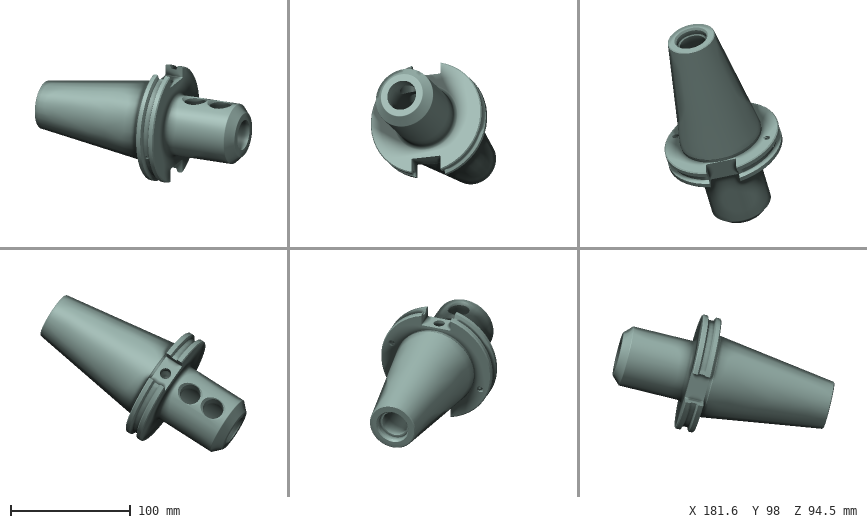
import cadquery as cq
import math

total_length = 181.6
gauge_x = 101.7
flange_start = 104.8
flange_end = 120.5

gauge_diameter = 70.0
taper_rate = 7 / 24
small_end_diameter = gauge_diameter - taper_rate * gauge_x
small_end_chamfer = 0.7
relief_diameter = 69.2
relief_start = 102.5

flange_diameter = 98
flange_chamfer = 0.9
groove_x = 112.6
groove_floor_diameter = 91.5
groove_floor_width = 4.2
groove_mouth_width = 7.3

nose_diameter = 50.8
nose_fillet = 3.0
nose_chamfer = 6.9
nose_edge_round = 0.7

through_diameter = 22.0
tool_bore_diameter = 25.5
tool_bore_depth = 61.7
pilot_diameter = 26.2
pilot_depth = 5.8
mouth_diameter = 28.7
mouth_depth = 1.8

slot_width = 25.8
slot_corner_radius = 0.7
upper_slot_floor = 37.5
lower_slot_floor = 35.0
dimple_diameter = 9.5
dimple_depth = 7.3
drill_point_angle = 118

screw_positions = (137.5, 160.4)
screw_diameter = 17.3
countersink_diameter = 22.0

coolant_angle = 20
coolant_tilt = 30
coolant_radius = 41.8
coolant_entry_diameter = 5.0
coolant_entry_depth = 1.8
coolant_drill_diameter = 2.5
coolant_outlet_diameter = 3.3


def rod(start, direction, diameter, length):
    """Solid cylinder from a start point along a direction."""
    return cq.Workplane(obj=cq.Solid.makeCylinder(
        diameter / 2, length, cq.Vector(*start), cq.Vector(*direction)))


def make_body():
    """Revolve the outer profile about the X axis."""
    small_radius = small_end_diameter / 2
    flange_radius = flange_diameter / 2
    floor_radius = groove_floor_diameter / 2
    nose_radius = nose_diameter / 2
    shoulder_x = total_length - nose_chamfer
    fillet_middle = nose_fillet * (1 - math.sqrt(0.5))
    profile = (
        cq.Workplane("XY")
        .moveTo(0, 0)
        .lineTo(0, small_radius - small_end_chamfer)
        .lineTo(small_end_chamfer, small_radius + taper_rate / 2 * small_end_chamfer)
        .lineTo(gauge_x, gauge_diameter / 2)
        .lineTo(relief_start, relief_diameter / 2)
        .lineTo(flange_start, relief_diameter / 2)
        .lineTo(flange_start, flange_radius - flange_chamfer)
        .lineTo(flange_start + flange_chamfer, flange_radius)
        .lineTo(groove_x - groove_mouth_width / 2, flange_radius)
        .lineTo(groove_x - groove_floor_width / 2, floor_radius)
        .lineTo(groove_x + groove_floor_width / 2, floor_radius)
        .lineTo(groove_x + groove_mouth_width / 2, flange_radius)
        .lineTo(flange_end - flange_chamfer, flange_radius)
        .lineTo(flange_end, flange_radius - flange_chamfer)
        .lineTo(flange_end, nose_radius + nose_fillet)
        .threePointArc(
            (flange_end + fillet_middle, nose_radius + fillet_middle),
            (flange_end + nose_fillet, nose_radius),
        )
        .lineTo(shoulder_x, nose_radius)
        .lineTo(total_length, nose_radius - nose_chamfer)
        .lineTo(total_length, 0)
        .close()
    )
    body = profile.revolve(360, (0, 0, 0), (1, 0, 0))
    shoulder_edge = cq.selectors.BoxSelector(
        (shoulder_x - nose_edge_round, -nose_diameter, -nose_diameter),
        (shoulder_x + nose_edge_round, nose_diameter, nose_diameter),
        boundingbox=True,
    )
    body = body.edges(shoulder_edge).fillet(nose_edge_round)
    return body.faces(">X").edges().fillet(nose_edge_round)


def make_bore():
    """Stepped bore: conical mouth, pilot, through hole and tool bore."""
    tool_bore_start = total_length - tool_bore_depth
    profile = (
        cq.Workplane("XY")
        .moveTo(0, 0)
        .lineTo(0, mouth_diameter / 2)
        .lineTo(mouth_depth, pilot_diameter / 2)
        .lineTo(pilot_depth, pilot_diameter / 2)
        .lineTo(pilot_depth, through_diameter / 2)
        .lineTo(tool_bore_start, through_diameter / 2)
        .lineTo(tool_bore_start, tool_bore_diameter / 2)
        .lineTo(total_length, tool_bore_diameter / 2)
        .lineTo(total_length, 0)
        .close()
    )
    return profile.revolve(360, (0, 0, 0), (1, 0, 0))


def make_drive_slot(floor, side):
    """Slot across the flange; side is +1 for the top, -1 for the bottom."""
    height = flange_diameter / 2 - floor
    slot = cq.Workplane("XY").box(flange_end - flange_start, slot_width, height)
    floor_face = "<Z" if side > 0 else ">Z"
    slot = slot.faces(floor_face).edges("|X").fillet(slot_corner_radius)
    return slot.translate(((flange_start + flange_end) / 2, 0, side * (floor + height / 2)))


def make_dimple():
    """Blind drilled hole with a conical bottom in the upper slot floor."""
    radius = dimple_diameter / 2
    point_height = radius / math.tan(math.radians(drill_point_angle / 2))
    profile = (
        cq.Workplane("XZ")
        .moveTo(0, 0)
        .lineTo(radius, 0)
        .lineTo(radius, -dimple_depth)
        .lineTo(0, -dimple_depth - point_height)
        .close()
    )
    dimple = profile.revolve(360, (0, 0, 0), (0, 1, 0))
    return dimple.translate((groove_x, 0, upper_slot_floor))


def make_screw_hole(x):
    """Radial hole into the tool bore with a 90 degree countersink."""
    top = nose_diameter / 2
    hole = rod((x, 0, 0), (0, 0, 1), screw_diameter, top)
    countersink = cq.Workplane(obj=cq.Solid.makeCone(
        countersink_diameter / 2, 0, countersink_diameter / 2,
        cq.Vector(x, 0, top), cq.Vector(0, 0, -1)))
    return hole.union(countersink)


def make_coolant_passage():
    """Inclined stepped drilling from the flange face, met by a radial hole from the groove."""
    tilt = math.radians(coolant_tilt)
    direction = (math.cos(tilt), -math.sin(tilt), 0)
    run = groove_x - flange_start
    meeting_radius = coolant_radius - run * math.tan(tilt)
    lead = coolant_entry_diameter
    start = (flange_start - lead * direction[0], coolant_radius - lead * direction[1], 0)
    entry = rod(start, direction, coolant_entry_diameter, lead + coolant_entry_depth)
    drill = rod(start, direction, coolant_drill_diameter, lead + run / math.cos(tilt))
    outlet = rod((groove_x, meeting_radius, 0), (0, 1, 0), coolant_outlet_diameter,
                 flange_diameter / 2 - meeting_radius)
    return entry.union(drill).union(outlet)


result = make_body().cut(make_bore())
result = result.cut(make_drive_slot(upper_slot_floor, 1))
result = result.cut(make_drive_slot(lower_slot_floor, -1))
result = result.cut(make_dimple())
for screw_x in screw_positions:
    result = result.cut(make_screw_hole(screw_x))
for turn in (coolant_angle, coolant_angle + 180):
    result = result.cut(make_coolant_passage().rotate((0, 0, 0), (1, 0, 0), turn))